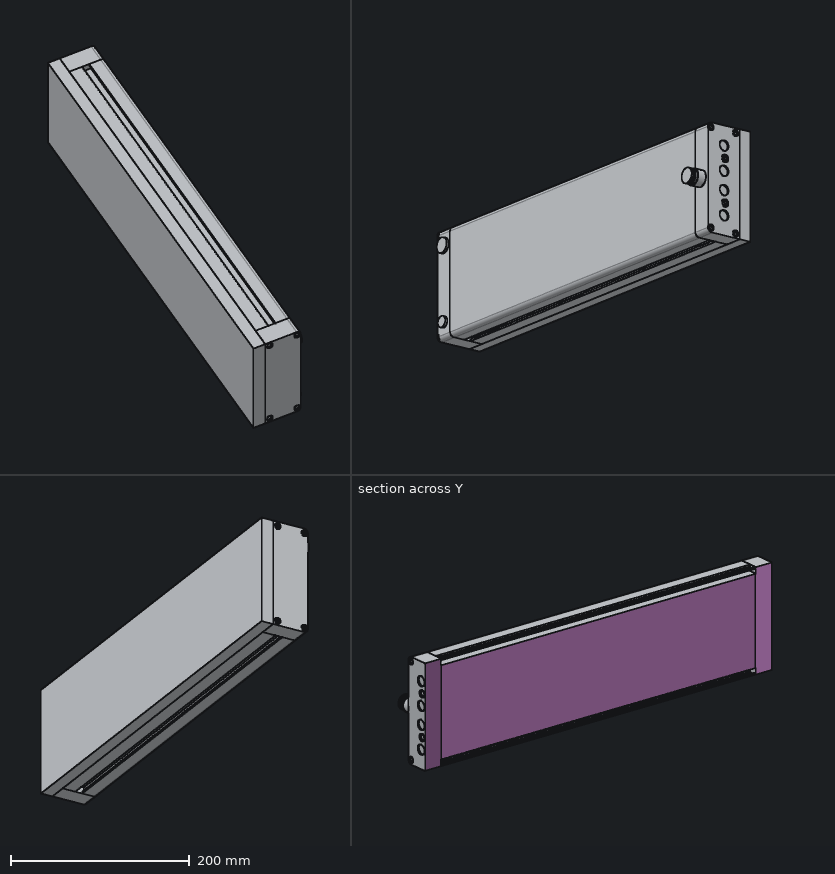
import cadquery as cq

length = 496.0
height = 130.0
pad_thickness = 15.0
body_rear = 60.0
tip_rear = 81.5
cap_length = 23.5
edge_radius = 5.5

groove_front = 31.0
groove_rear = 40.0
groove_depth = 8.0
groove_lip = 2.5
groove_undercut = 2.0

step_depth = 1.5
stepped_hole_depth = 5.0

screw_front_y = 21.0
screw_rear_y = 55.5
screw_spacing_z = 118.5
screw_head_diameter = 7.5
screw_hole_diameter = 5.0

port_diameter = 12.5
port_depth = 2.0
port_y = 37.0
port_heights = (11.5, 41.0)
vent_diameter = 9.0
vent_hole_diameter = 6.0
vent_y = 35.5
vent_height = 26.5

neck_diameter = 15.0
neck_length = 1.5
collar_diameter = 20.0
ring_diameter = 18.5
ring_groove_diameter = 17.0
ring_width = 3.0

button_length = 3.0
button_height = 45.0
upper_button_diameter = 18.5
lower_button_diameter = 13.5


def body_block(x_start, x_end):
    """Block behind the pad with its two long rear edges rounded."""
    block = cq.Workplane("XY").box(
        x_end - x_start, body_rear - pad_thickness, height, centered=(False, False, True)
    )
    return block.edges("|X and >Y").fillet(edge_radius).translate((x_start, pad_thickness, 0))


def disc_along_y(x, z, y_start, y_end, diameter):
    """Cylinder with its axis along Y."""
    axis = cq.Vector(0, 1, 0)
    base = cq.Vector(x, y_start, z)
    return cq.Workplane(cq.Solid.makeCylinder(diameter / 2, y_end - y_start, base, axis))


def end_bores(x_face, inward, places, diameter, depth):
    """Cylinders that cut from an end face into a cap; inward is +1 or -1 along X."""
    axis = cq.Vector(inward, 0, 0)
    cutters = cq.Workplane()
    for y, z in places:
        base = cq.Vector(x_face, y, z)
        cutters = cutters.add(cq.Solid.makeCylinder(diameter / 2, depth, base, axis))
    return cutters.combine()


def stepped_bores(x_face, inward, places, outer_diameter, inner_diameter):
    """Cutters for holes with a wide shallow step and a narrower, deeper bore."""
    wide = end_bores(x_face, inward, places, outer_diameter, step_depth)
    return wide.union(end_bores(x_face, inward, places, inner_diameter, stepped_hole_depth))


def make_pad():
    return cq.Workplane("XY").box(length, pad_thickness, height, centered=(False, False, True))


def groove_box(width, top, bottom, side):
    """Full-length slot between two depths below the top (side = 1) or bottom (side = -1) face."""
    slot = cq.Workplane("XY").box(length, width, bottom - top)
    middle_y = (groove_front + groove_rear) / 2
    return slot.translate((length / 2, middle_y, side * (height - top - bottom) / 2))


def make_housing():
    """Profile between the caps, with a T-shaped groove in its top and bottom faces."""
    housing = body_block(cap_length, length - cap_length)
    mouth_width = groove_rear - groove_front
    base_width = mouth_width + 2 * groove_undercut
    for side in (-1, 1):
        mouth = groove_box(mouth_width, 0, groove_depth, side)
        base = groove_box(base_width, groove_lip, groove_depth, side)
        housing = housing.cut(mouth).cut(base)
    return housing


def make_cap(x_face, inward):
    """End cap with a stepped screw hole in each corner of its end face."""
    x_inner = x_face + inward * cap_length
    cap = body_block(min(x_face, x_inner), max(x_face, x_inner))
    places = [(y, side * screw_spacing_z / 2) for y in (screw_front_y, screw_rear_y) for side in (-1, 1)]
    return cap.cut(stepped_bores(x_face, inward, places, screw_head_diameter, screw_hole_diameter))


def add_connector(cap):
    """Connector on the rear of the cap, halfway along it."""
    collar_start = body_rear + neck_length
    rings_start = tip_rear - 3 * ring_width
    sections = [
        (body_rear, collar_start, neck_diameter),
        (collar_start, rings_start, collar_diameter),
        (rings_start, rings_start + ring_width, ring_diameter),
        (rings_start + ring_width, tip_rear - ring_width, ring_groove_diameter),
        (tip_rear - ring_width, tip_rear, ring_diameter),
    ]
    for y_start, y_end, diameter in sections:
        cap = cap.union(disc_along_y(cap_length / 2, 0, y_start, y_end, diameter))
    return cap


def make_connector_cap():
    cap = add_connector(make_cap(0, 1))
    ports = [(port_y, side * z) for side in (-1, 1) for z in port_heights]
    vents = [(vent_y, side * vent_height) for side in (-1, 1)]
    cap = cap.cut(end_bores(0, 1, ports, port_diameter, port_depth))
    return cap.cut(stepped_bores(0, 1, vents, vent_diameter, vent_hole_diameter))


def make_button_cap():
    cap = make_cap(length, -1)
    button_x = length - cap_length / 2
    buttons = [(button_height, upper_button_diameter), (-button_height, lower_button_diameter)]
    for z, diameter in buttons:
        cap = cap.union(disc_along_y(button_x, z, body_rear, body_rear + button_length, diameter))
    return cap


pad = make_pad()
housing = make_housing()
connector_cap = make_connector_cap()
button_cap = make_button_cap()

result = cq.Compound.makeCompound(
    [pad.val(), housing.val(), connector_cap.val(), button_cap.val()]
)